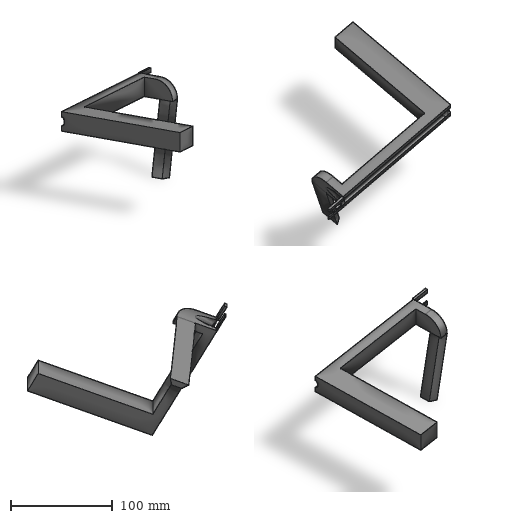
import cadquery as cq

total_length = 170.0
prong_length = 20.0
body_height = 20.0
overall_height = 97.0

frame_length = total_length - prong_length
front_arm_length = 135.7
front_arm_depth = 25.0
side_arm_width = 11.2
back_arm_depth = 9.7

round_end_radius = body_height
round_end_start = 23.5

leg_back_width = round_end_radius
leg_front_width = 11.5
leg_depth = 7.0
leg_length = overall_height - body_height
leg_lean = 15.5

prong_gap = 11.0
prong_inner_face = 1.4
upper_prong_overhang = 1.4
prong_height = (body_height - prong_gap) / 2

mid_height = body_height / 2
channel_height = 9.2
channel_depth = 3.0
hole_depth = 23.8
hole_slope = 0.22
front_hole_diameter = 9.9
front_hole_setback = 4.8
back_hole_diameter = 12.0
back_hole_overrun = 0.8
back_hole_setback = frame_length + back_hole_overrun


def block(x_start, x_end, y_start, y_end, z_start, z_end):
    """Box given by its limits along each axis."""
    size = (x_end - x_start, y_end - y_start, z_end - z_start)
    return cq.Workplane("XY").box(*size, centered=False).translate((x_start, y_start, z_start))


def make_frame():
    """Front arm, side arm and short back arm, all of one height."""
    outline = [
        (0, 0),
        (front_arm_length, 0),
        (front_arm_length, front_arm_depth),
        (side_arm_width, front_arm_depth),
        (side_arm_width, frame_length - back_arm_depth),
        (round_end_start, frame_length - back_arm_depth),
        (round_end_start, frame_length),
        (0, frame_length),
    ]
    return cq.Workplane("XY").polyline(outline).close().extrude(body_height)


def make_round_end():
    """Quarter cylinder that closes the back arm."""
    disc = (
        cq.Workplane("XZ", origin=(round_end_start, frame_length, 0))
        .circle(round_end_radius)
        .extrude(back_arm_depth)
    )
    quadrant = block(
        round_end_start, round_end_start + round_end_radius,
        frame_length - back_arm_depth, frame_length,
        0, body_height,
    )
    return disc.intersect(quadrant)


def leg_section(shift, height):
    """Wire of the leg's trapezoid section, moved forward by shift at the given height."""
    center = round_end_start + leg_back_width / 2
    back = frame_length - shift
    front = back - leg_depth
    corners = [
        (center - leg_back_width / 2, back),
        (center + leg_back_width / 2, back),
        (center + leg_front_width / 2, front),
        (center - leg_front_width / 2, front),
    ]
    points = [cq.Vector(x, y, height) for x, y in corners]
    return cq.Wire.makePolygon(points, close=True)


def make_leg():
    """Leaning leg between the round end and the lowest point of the part."""
    sections = [leg_section(0, 0), leg_section(leg_lean, -leg_length)]
    return cq.Workplane(cq.Solid.makeLoft(sections, True))


def make_prongs():
    """Upper and lower prongs with an open gap between them."""
    upper = block(
        -upper_prong_overhang, prong_inner_face,
        frame_length, total_length,
        body_height - prong_height, body_height,
    )
    lower = block(0, prong_inner_face, frame_length, total_length, 0, prong_height)
    return upper, lower


def make_channel():
    """Half-oval groove that runs the full length of the outer face."""
    return (
        cq.Workplane("XZ", origin=(0, frame_length, mid_height))
        .ellipse(channel_depth, channel_height / 2)
        .extrude(frame_length)
    )


def make_slanted_hole(diameter, setback):
    """Hole from the outer face that drifts backward as it deepens and has an upright floor."""
    def section(x, y):
        center = cq.Vector(x, y, mid_height)
        return cq.Wire.makeCircle(diameter / 2, center, cq.Vector(1, 0, 0))

    drift = hole_slope * hole_depth
    sections = [
        section(-upper_prong_overhang, setback - hole_slope * upper_prong_overhang),
        section(hole_depth, setback + drift),
    ]
    return cq.Workplane(cq.Solid.makeLoft(sections, True))


upper_prong, lower_prong = make_prongs()
front_hole = make_slanted_hole(front_hole_diameter, front_hole_setback)
back_hole = make_slanted_hole(back_hole_diameter, back_hole_setback)

result = make_frame()
for addition in (make_round_end(), make_leg(), upper_prong, lower_prong):
    result = result.union(addition)
for recess in (make_channel(), front_hole, back_hole):
    result = result.cut(recess)